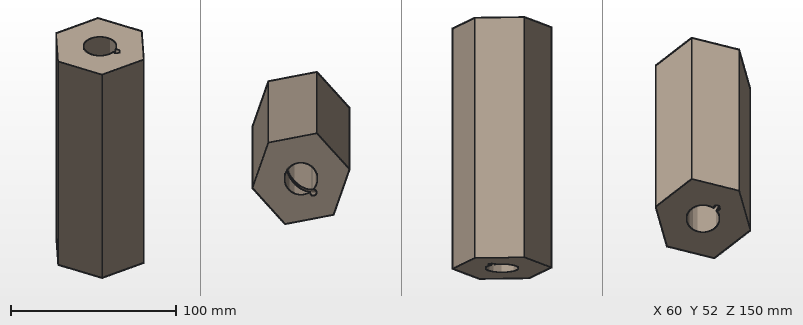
import cadquery as cq

length = 150.0
width_across_corners = 60.0
bore_diameter = 20.0

groove_diameter = 3.9
groove_center_radius = 11.4
groove_twist = 360.0


def hexagonal_bar():
    return cq.Workplane("XY").polygon(6, width_across_corners).extrude(length)


def bore():
    return cq.Workplane("XY").circle(bore_diameter / 2).extrude(length)


def helical_groove():
    """Round rod winding about the bore axis, starting and ending on the +X side."""
    return (
        cq.Workplane("XY")
        .pushPoints([(groove_center_radius, 0)])
        .circle(groove_diameter / 2)
        .twistExtrude(length, groove_twist)
    )


result = hexagonal_bar().cut(bore()).cut(helical_groove())